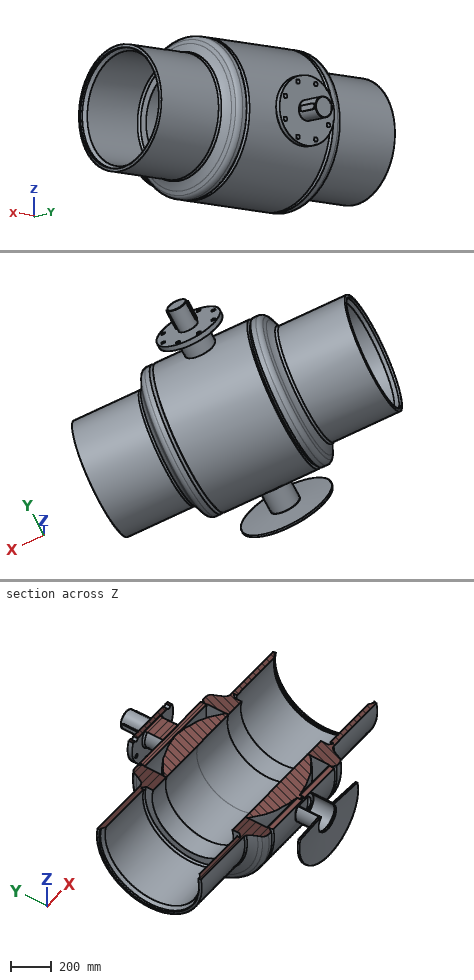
import cadquery as cq
import math


half_length = 750.0
pipe_radius = 315.0
pipe_bore_radius = 285.0
flow_bore_radius = 243.0
shell_radius = 404.0
shell_bore_radius = 370.0

land_outer_radius = 304.0
mouth_bore_radius = 299.0
bevel_length = 3.0
mouth_bore_length = 12.0
taper_length = 20.0

joint_x = 263.0
groove_root_radius = 386.0
shell_edge_x = 258.0
end_edge_x = 277.0

shoulder_start_x = 304.0
shoulder_radius = 32.0
shoulder_angle = math.radians(66.5)
steep_cone_length = 9.0
flare_end_x = 368.0
flare_end_radius = 320.0
pipe_start_x = 382.0

bore_end_x = 397.0
undercut_radius = 303.0
step_x = 377.0

stem_radius = 52.5
stem_top_y = 661.76
stem_bottom_y = 310.0
stem_chamfer = 2.5
key_width = 30.0
key_length = 108.0
key_height = 57.5
key_top_y = 656.0

flange_radius = 175.0
flange_bottom_y = 505.0
flange_thickness = 28.0
bolt_circle_radius = 149.0
bolt_hole_radius = 11.0
bolt_count = 8
neck_base_y = 400.0
neck_radius = 84.0
weld_leg_radial = 6.0
weld_leg_axial = 12.0

plate_radius = 250.0
plate_hole_radius = 75.0
plate_front_y = -550.0
plate_thickness = 12.0
plate_dish = 9.0
post_radius = 80.0
post_base_y = -403.0

trunnion_radius = 55.0
trunnion_end_y = -385.0
square_size = 76.0
square_corner_radius = 49.0
square_height = 12.0


def cylinder_y(radius, y_low, y_high):
    """Solid cylinder on the stem axis between two Y stations."""
    return cq.Workplane("XZ", origin=(0, y_low, 0)).circle(radius).extrude(y_low - y_high)


def cylinder_x(radius, half_width):
    """Solid cylinder on the flow axis, centred on the origin."""
    return cq.Workplane("YZ").circle(radius).extrude(half_width, both=True)


def make_pipe_end():
    """Pipe stub with its reducer on the +X side, revolved about the flow axis."""
    shoulder_end_x = shoulder_start_x + shoulder_radius * math.sin(shoulder_angle)
    shoulder_end_radius = shell_radius - shoulder_radius * (1 - math.cos(shoulder_angle))
    steep_end_x = shoulder_end_x + steep_cone_length
    steep_end_radius = shoulder_end_radius - steep_cone_length * math.tan(shoulder_angle)
    taper_start_x = half_length - mouth_bore_length
    return (
        cq.Workplane("XY")
        .moveTo(joint_x, flow_bore_radius)
        .lineTo(joint_x, groove_root_radius)
        .lineTo(end_edge_x, shell_radius)
        .lineTo(shoulder_start_x, shell_radius)
        .tangentArcPoint((shoulder_end_x, shoulder_end_radius), relative=False)
        .lineTo(steep_end_x, steep_end_radius)
        .tangentArcPoint((flare_end_x, flare_end_radius), relative=False)
        .lineTo(pipe_start_x, pipe_radius)
        .lineTo(half_length - bevel_length, pipe_radius)
        .lineTo(half_length, land_outer_radius)
        .lineTo(half_length, mouth_bore_radius)
        .lineTo(taper_start_x, mouth_bore_radius)
        .lineTo(taper_start_x - taper_length, pipe_bore_radius)
        .lineTo(bore_end_x, pipe_bore_radius)
        .lineTo(bore_end_x, undercut_radius)
        .lineTo(step_x, pipe_bore_radius)
        .lineTo(step_x, flow_bore_radius)
        .close()
        .revolve(360, (0, 0, 0), (1, 0, 0))
    )


def make_shell():
    """Middle tube with bevelled rims and openings for the stem and the trunnion."""
    shell = (
        cq.Workplane("XY")
        .moveTo(-joint_x, shell_bore_radius)
        .lineTo(-joint_x, groove_root_radius)
        .lineTo(-shell_edge_x, shell_radius)
        .lineTo(shell_edge_x, shell_radius)
        .lineTo(joint_x, groove_root_radius)
        .lineTo(joint_x, shell_bore_radius)
        .close()
        .revolve(360, (0, 0, 0), (1, 0, 0))
    )
    shell = shell.cut(cylinder_y(stem_radius, 0, shell_radius))
    return shell.cut(cylinder_y(trunnion_radius, -shell_radius, 0))


def make_ball():
    """Bored ball with flat ends, a socket for the stem and a square-ended lower trunnion."""
    ball = cq.Workplane("XY").sphere(shell_bore_radius).intersect(cylinder_x(shell_bore_radius, joint_x))
    ball = ball.union(cylinder_y(trunnion_radius, trunnion_end_y, 0))
    square = (
        cq.Workplane("XZ", origin=(0, trunnion_end_y, 0))
        .rect(square_size, square_size)
        .extrude(square_height)
        .intersect(cylinder_y(square_corner_radius, trunnion_end_y - square_height, trunnion_end_y))
    )
    ball = ball.union(square)
    ball = ball.cut(cylinder_x(flow_bore_radius, half_length))
    return ball.cut(cylinder_y(stem_radius, stem_bottom_y, shell_radius))


def make_stem():
    """Round stem with two round-ended keys on opposite sides."""
    stem = cylinder_y(stem_radius, stem_bottom_y, stem_top_y).faces(">Y").chamfer(stem_chamfer)
    keys = (
        cq.Workplane("YZ")
        .center(key_top_y - key_length / 2, 0)
        .slot2D(key_length, key_width)
        .extrude(key_height, both=True)
    )
    return stem.union(keys)


def make_flange():
    """Round actuator flange with a ring of bolt holes straddling the axes."""
    flange = cylinder_y(flange_radius, flange_bottom_y, flange_bottom_y + flange_thickness)
    flange = flange.cut(cylinder_y(stem_radius, flange_bottom_y, flange_bottom_y + flange_thickness))
    bolt_holes = (
        cq.Workplane("XZ", origin=(0, flange_bottom_y, 0))
        .polarArray(bolt_circle_radius, 180 / bolt_count, 360, bolt_count)
        .circle(bolt_hole_radius)
        .extrude(-flange_thickness)
    )
    return flange.cut(bolt_holes)


def make_neck():
    """Tube from the shell to the flange, widened by a weld bead under the flange."""
    neck = (
        cq.Workplane("XY")
        .moveTo(stem_radius, neck_base_y)
        .lineTo(neck_radius, neck_base_y)
        .lineTo(neck_radius, flange_bottom_y - weld_leg_axial)
        .lineTo(neck_radius + weld_leg_radial, flange_bottom_y)
        .lineTo(stem_radius, flange_bottom_y)
        .close()
        .revolve(360, (0, 0, 0), (0, 1, 0))
    )
    return neck.cut(cylinder_x(shell_radius, half_length))


def make_foot_plate():
    """Slightly dished disc whose rim lies further from the shell than its middle."""
    rim_back_y = plate_front_y + plate_thickness
    return (
        cq.Workplane("XY")
        .moveTo(plate_hole_radius, plate_front_y + plate_dish)
        .lineTo(plate_radius, plate_front_y)
        .lineTo(plate_radius, rim_back_y)
        .lineTo(post_radius, rim_back_y + plate_dish)
        .lineTo(plate_hole_radius, rim_back_y + plate_dish)
        .close()
        .revolve(360, (0, 0, 0), (0, 1, 0))
    )


def make_foot_post():
    """Tube standing on the shell that carries the foot plate."""
    post_end_y = plate_front_y + plate_thickness + plate_dish
    post = cylinder_y(post_radius, post_end_y, post_base_y)
    post = post.cut(cylinder_y(plate_hole_radius, post_end_y, post_base_y))
    return post.cut(cylinder_x(shell_radius, half_length))


shell = make_shell()
right_end = make_pipe_end()
pipe_ends = [right_end, right_end.mirror("YZ")]
ball = make_ball()
stem = make_stem()
flange = make_flange()
neck = make_neck()
foot_plate = make_foot_plate()
foot_post = make_foot_post()

bodies = [shell, *pipe_ends, ball, stem, flange, neck, foot_plate, foot_post]
result = cq.Compound.makeCompound([body.solids().val() for body in bodies])